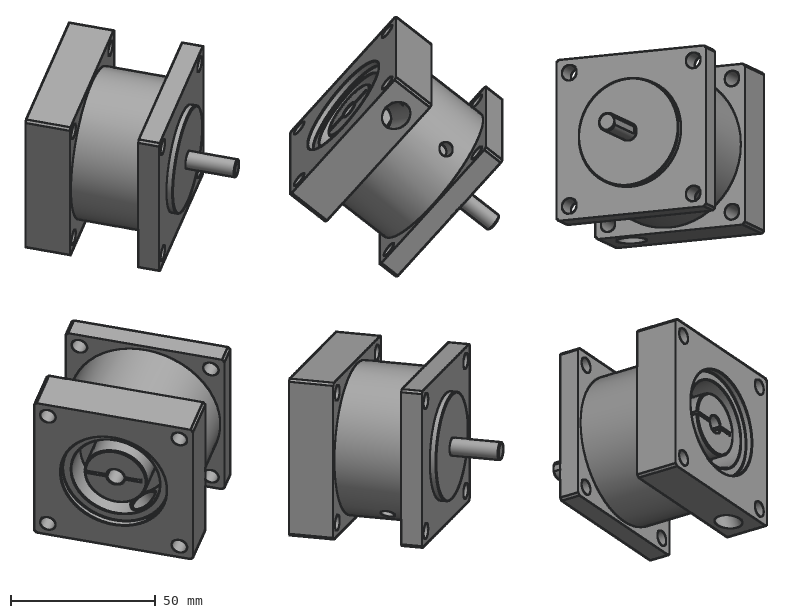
import cadquery as cq
import math

LENGTH = 68.0
BLOCK_END = 16.0
FLANGE_START = 40.5
FLANGE_END = 48.0
PILOT_END = 50.3

SQUARE_SIDE = 57.0
CORNER_CHAMFER = 0.9
BOLT_SPACING = 47.2
BOLT_HOLE_DIAMETER = 5.5

BODY_DIAMETER = 54.0
PILOT_DIAMETER = 38.1
PILOT_CHAMFER = 0.3
SHAFT_DIAMETER = 6.3
SHAFT_CHAMFER = 0.35
FLAT_START = 51.8
FLAT_DEPTH = 0.3

RECESS_DIAMETER = 38.1
RECESS_DEPTH = 2.5
RECESS_CHAMFER = 0.2
RECESS_FLOOR_CHAMFER = 0.2
BORE_DIAMETER = 31.8
BORE_CHAMFER = 0.2
BORE_DEPTH = 14.3

COLLAR_DIAMETER = 22.4
COLLAR_FACE = RECESS_DEPTH
COLLAR_CHAMFER = 0.4
SHAFT_HOLE_DIAMETER = 6.3
SHAFT_HOLE_CHAMFER = 0.2
SLOT_WIDTH = 1.0
SLOT_REACH = 9.25
SLOT_DEPTH = 8.15


ACCESS_X = 9.0
ACCESS_ANGLE = 58.0
ACCESS_DIAMETER = 9.1
ACCESS_MOUTH_DIAMETER = 10.2
ACCESS_STEP_RADIUS = 15.9

BODY_HOLE_DIAMETER = 5.0
BODY_HOLE_X = 32.2
BODY_HOLE_ANGLE = 51.0
BODY_HOLE_DEPTH = 5.45


def cylinder(diameter, start, end):
    """Solid cylinder on the X axis between two stations."""
    return cq.Workplane("YZ").workplane(offset=start).circle(diameter / 2).extrude(end - start)


def square_plate(start, end):
    """Square plate with chamfered corners and four bolt holes."""
    return (
        cq.Workplane("YZ").workplane(offset=start)
        .rect(SQUARE_SIDE, SQUARE_SIDE).extrude(end - start)
        .edges("|X").chamfer(CORNER_CHAMFER)
        .faces(">X").workplane()
        .rect(BOLT_SPACING, BOLT_SPACING, forConstruction=True).vertices()
        .hole(BOLT_HOLE_DIAMETER)
    )


def output_shaft():
    """Shaft with a chamfered tip and a flat on its +Y side."""
    shaft = cylinder(SHAFT_DIAMETER, PILOT_END, LENGTH).faces(">X").chamfer(SHAFT_CHAMFER)
    flat = cq.Workplane("XY").box(
        LENGTH - FLAT_START, SHAFT_DIAMETER, SHAFT_DIAMETER, centered=(False, False, True)
    ).translate((FLAT_START, SHAFT_DIAMETER / 2 - FLAT_DEPTH, 0))
    return shaft.cut(flat)


def mouth_chamfer(diameter, start, chamfer):
    """Cone that breaks the mouth of a round hole."""
    return (
        cq.Workplane("YZ").workplane(offset=start)
        .circle(diameter / 2 + chamfer).extrude(chamfer, taper=45)
    )


def motor_socket():
    """Space removed for the recess and the bore, each with a chamfered mouth."""
    recess = cylinder(RECESS_DIAMETER, 0, RECESS_DEPTH).faces(">X").chamfer(RECESS_FLOOR_CHAMFER)
    return (
        cylinder(BORE_DIAMETER, 0, BORE_DEPTH)
        .union(recess)
        .union(mouth_chamfer(RECESS_DIAMETER, 0, RECESS_CHAMFER))
        .union(mouth_chamfer(BORE_DIAMETER, RECESS_DEPTH, BORE_CHAMFER))
    )


def clamp_collar():
    """Collar with a shaft hole and a slot that opens on its +Y side."""
    collar = cylinder(COLLAR_DIAMETER, COLLAR_FACE, BORE_DEPTH).faces("<X").chamfer(COLLAR_CHAMFER)
    hole = cylinder(SHAFT_HOLE_DIAMETER, COLLAR_FACE, BORE_DEPTH)
    hole_mouth = mouth_chamfer(SHAFT_HOLE_DIAMETER, COLLAR_FACE, SHAFT_HOLE_CHAMFER)
    slot = cq.Workplane("XY").box(
        SLOT_DEPTH, COLLAR_DIAMETER / 2 + SLOT_REACH, SLOT_WIDTH,
        centered=(False, False, True),
    ).translate((COLLAR_FACE, -SLOT_REACH, 0))
    return collar.cut(hole).cut(hole_mouth).cut(slot)


def radial_hole(diameter, x, angle_degrees, inner_radius, outer_radius):
    """Cylinder pointing away from the X axis, the angle measured from -Y towards -Z."""
    angle = math.radians(angle_degrees)
    outward = cq.Vector(0, -math.cos(angle), -math.sin(angle))
    start = outward * inner_radius + cq.Vector(x, 0, 0)
    plane = cq.Plane(origin=start.toTuple(), xDir=(1, 0, 0), normal=outward.toTuple())
    return cq.Workplane(plane).circle(diameter / 2).extrude(outer_radius - inner_radius)


def access_hole():
    """Stepped radial hole from the bore to the underside, wider where it meets the bore."""
    wide = radial_hole(ACCESS_MOUTH_DIAMETER, ACCESS_X, ACCESS_ANGLE, 0, ACCESS_STEP_RADIUS)
    narrow = radial_hole(ACCESS_DIAMETER, ACCESS_X, ACCESS_ANGLE, 0, SQUARE_SIDE)
    return wide.union(narrow)


def body_hole():
    """Blind radial hole in the lower -Y quarter of the round body."""
    surface = BODY_DIAMETER / 2
    return radial_hole(
        BODY_HOLE_DIAMETER, BODY_HOLE_X, BODY_HOLE_ANGLE, surface - BODY_HOLE_DEPTH, SQUARE_SIDE / 2)


pilot = cylinder(PILOT_DIAMETER, FLANGE_END, PILOT_END).faces(">X").chamfer(PILOT_CHAMFER)
body = cylinder(BODY_DIAMETER, BLOCK_END, FLANGE_START)

result = (
    square_plate(0, BLOCK_END)
    .union(body)
    .union(square_plate(FLANGE_START, FLANGE_END))
    .union(pilot)
    .union(output_shaft())
    .cut(motor_socket())
    .cut(access_hole())
    .cut(body_hole())
    .union(clamp_collar())
)